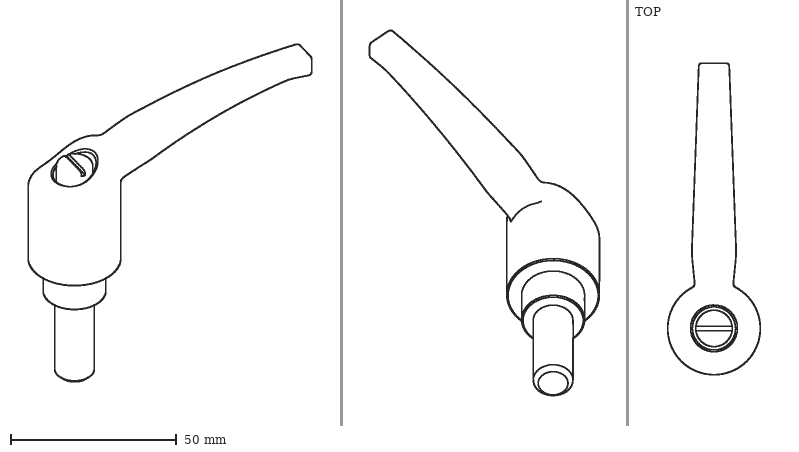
import cadquery as cq
import math

HUB_D = 28.0
HUB_BOTTOM_CHAMFER = 0.4
COLLAR_D = 19.0
COLLAR_LENGTH = 12.0
COLLAR_CHAMFER = 0.4
STUD_D = 12.0
STUD_LENGTH = 30.0
STUD_CHAMFER = 1.5

ARM_TIP_Y = 80.0
ARM_WIDEST_Y = 22.4
ARM_ROOT_Y = 11.0
ARM_TIP_HALF_WIDTH = 4.6
ARM_WIDEST_HALF_WIDTH = 6.75
ARM_ROOT_HALF_WIDTH = 5.6
ARM_BEND_R = 25.0

ARM_ROOT_BOTTOM_Z = 27.0
ARM_MIDDLE_Y = 42.0
ARM_MIDDLE_BOTTOM_Z = 38.8
ARM_NECK_Y = 72.0
ARM_NECK_BOTTOM_Z = 43.9
ARM_NECK_R = 15.0
ARM_TIP_BOTTOM_Z = 42.6

CROWN_Z = 49.94
CROWN_R = 215.0
ROOF_HALF_WIDTH = 17.0
ROOF_END_MARGIN = 2.0
FLAT_DROP = 0.01
ARM_ROOF_SECTIONS_Y = [ARM_TIP_Y + ROOF_END_MARGIN, 60.0, 40.0, 25.0]
HUB_ROOF_SECTIONS = [(15.0, 0.2), (5.0, 6.7), (-5.0, 9.1), (-HUB_D / 2 - ROOF_END_MARGIN, 13.0)]

CORNER_FILLET = 1.5
LONG_EDGE_FILLET = 1.5
TIP_FILLET = 1.0

POCKET_D = 13.0
POCKET_FLOOR_Z = 24.0
POCKET_RIM_CHAMFER = 0.6
HEAD_D = 11.0
HEAD_TOP_Z = 35.85
HEAD_FILLET = 1.2
SLOT_WIDTH = 1.3
SLOT_DEPTH = 1.5


def crown_z(y):
    """Height of the crown arc at the given Y."""
    return CROWN_Z - CROWN_R + math.sqrt(CROWN_R**2 - (ARM_TIP_Y - y) ** 2)


def make_roof():
    """Solid under the roof: arched XZ sections lofted along Y."""
    sections = [(y, FLAT_DROP) for y in ARM_ROOF_SECTIONS_Y] + HUB_ROOF_SECTIONS
    previous_y = sections[0][0]
    roof = cq.Workplane("XZ", origin=(0, previous_y, 0))
    for y, drop in sections:
        side_z = crown_z(y) - drop
        roof = (
            roof.workplane(offset=previous_y - y)
            .moveTo(-ROOF_HALF_WIDTH, 0)
            .lineTo(-ROOF_HALF_WIDTH, side_z)
            .threePointArc((0, crown_z(y)), (ROOF_HALF_WIDTH, side_z))
            .lineTo(ROOF_HALF_WIDTH, 0)
            .close()
        )
        previous_y = y
    return roof.loft(combine=True)


def make_hub():
    """Cylinder up to the crown height, with its seam line turned to +Y, under the arm."""
    hub = cq.Workplane("XY").circle(HUB_D / 2).extrude(CROWN_Z).rotate((0, 0, 0), (0, 0, 1), 90)
    return hub.faces("<Z").edges().chamfer(HUB_BOTTOM_CHAMFER)


def make_arm_side():
    """Side outline of the arm, open upwards to the crown height."""
    side = (
        cq.Workplane("YZ")
        .moveTo(ARM_ROOT_Y, CROWN_Z)
        .lineTo(ARM_TIP_Y, CROWN_Z)
        .lineTo(ARM_TIP_Y, ARM_TIP_BOTTOM_Z)
        .lineTo(ARM_NECK_Y, ARM_NECK_BOTTOM_Z)
        .threePointArc((ARM_MIDDLE_Y, ARM_MIDDLE_BOTTOM_Z), (ARM_ROOT_Y, ARM_ROOT_BOTTOM_Z))
        .close()
        .extrude(HUB_D / 2, both=True)
    )
    neck = cq.selectors.NearestToPointSelector((0, ARM_NECK_Y, ARM_NECK_BOTTOM_Z))
    return side.edges("|X").edges(neck).fillet(ARM_NECK_R)


def make_arm_plan():
    """Plan outline of the arm: tapered both ways from a rounded widest point."""
    plan = (
        cq.Workplane("XY")
        .moveTo(-ARM_TIP_HALF_WIDTH, ARM_TIP_Y)
        .lineTo(-ARM_WIDEST_HALF_WIDTH, ARM_WIDEST_Y)
        .lineTo(-ARM_ROOT_HALF_WIDTH, ARM_ROOT_Y)
        .lineTo(ARM_ROOT_HALF_WIDTH, ARM_ROOT_Y)
        .lineTo(ARM_WIDEST_HALF_WIDTH, ARM_WIDEST_Y)
        .lineTo(ARM_TIP_HALF_WIDTH, ARM_TIP_Y)
        .close()
        .extrude(CROWN_Z)
    )
    return plan.edges("|Z").edges(">X or <X").fillet(ARM_BEND_R)


def face_near(solid, point):
    """Face whose centre lies closest to a point."""
    return solid.faces(cq.selectors.NearestToPointSelector(point))


def round_handle(handle):
    """Round the hub corners first, then the roof and underside edges, then the tip."""
    around_corners = cq.selectors.BoxSelector(
        (-HUB_D / 2, ARM_ROOT_Y, 0), (HUB_D / 2, HUB_D / 2, CROWN_Z), boundingbox=True
    )
    corners = handle.edges("|Z").edges("not(<Z)").edges(around_corners)
    handle = corners.fillet(CORNER_FILLET)

    roof = face_near(handle, (0, ARM_WIDEST_Y, crown_z(ARM_WIDEST_Y)))
    underside = face_near(handle, (0, ARM_MIDDLE_Y, ARM_MIDDLE_BOTTOM_Z))
    long_edges = roof.edges(">X or <X").add(underside.edges(">X or <X"))
    handle = handle.newObject(long_edges.vals()).fillet(LONG_EDGE_FILLET)

    return handle.faces(">Y").edges().fillet(TIP_FILLET)


def make_handle():
    """Hub and arm under one common roof face, with rounded edges."""
    arm = make_arm_side().intersect(make_arm_plan())
    return round_handle(make_hub().union(arm).intersect(make_roof()))


def make_pin(diameter, length, chamfer, top_z):
    """Cylinder hanging down from top_z with a chamfered lower end."""
    pin = cq.Workplane("XY", origin=(0, 0, top_z)).circle(diameter / 2).extrude(-length)
    return pin.faces("<Z").edges().chamfer(chamfer)


def cut_pocket(body):
    """Bore the screw pocket and chamfer its curved rim."""
    bore = cq.Workplane("XY", origin=(0, 0, POCKET_FLOOR_Z)).circle(POCKET_D / 2).extrude(CROWN_Z)
    bored = body.cut(bore)
    reach = POCKET_D / 2 + POCKET_RIM_CHAMFER
    around_rim = cq.selectors.BoxSelector(
        (-reach, -reach, POCKET_FLOOR_Z + POCKET_RIM_CHAMFER), (reach, reach, CROWN_Z), boundingbox=True
    )
    return bored.edges(around_rim).edges("not(|Z)").chamfer(POCKET_RIM_CHAMFER)


def make_screw_head():
    """Round head with a driver slot along X."""
    head = (
        cq.Workplane("XY", origin=(0, 0, POCKET_FLOOR_Z))
        .circle(HEAD_D / 2)
        .extrude(HEAD_TOP_Z - POCKET_FLOOR_Z)
        .faces(">Z")
        .edges()
        .fillet(HEAD_FILLET)
    )
    slot = cq.Workplane("XY", origin=(0, 0, HEAD_TOP_Z)).box(HEAD_D, SLOT_WIDTH, 2 * SLOT_DEPTH)
    return head.cut(slot)


collar = make_pin(COLLAR_D, COLLAR_LENGTH, COLLAR_CHAMFER, 0)
stud = make_pin(STUD_D, STUD_LENGTH, STUD_CHAMFER, -COLLAR_LENGTH)
body = make_handle().union(collar).union(stud)
result = cut_pocket(body).union(make_screw_head())